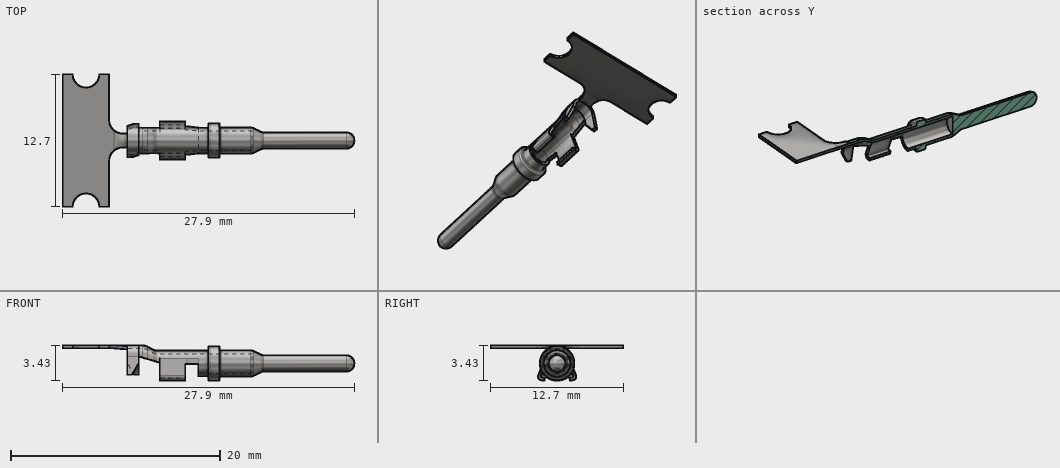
import cadquery as cq
import math


overall_length = 27.92
top_z = 1.75
sheet = 0.31

strip_width = 4.45
strip_span = 12.7
notch_radius = 1.27
neck_half_width = 0.68
neck_fillet = 1.27
neck_form_start = 4.88
neck_form_end = 5.95
neck_arch_radius = 2.5
neck_edge_angle = 66

barrel_radius = 1.27
tube_radius = 1.245
barrel_start = 12.95
cone_start = 18.1
cone_end = 19.1
cone_start_blend = 0.6
cone_end_blend = 0.3
pin_radius = 0.79

collar_start = 13.92
collar_end = 15.02
collar_radius = 1.665
collar_fillet = 0.15
collar_root_fillet = 0.08

grip_start = 6.17
grip_end = 7.28
grip_radius = 1.29
grip_bottom_z = -1.1
grip_flare = 11
grip_cut_length = 0.66
grip_cut_height = 1.14

bend_start = 7.60
bend_slope = 28
upper_bend_radius = 1.0
lower_bend_radius = 0.45
bend_edge_start_z = 0.66
bend_edge_end_z = 0.06

wing_start = 9.28
wing_end = 11.73
wing_flare = 22.5
curl_radius = 0.36
curl_center_z = -1.255
curl_end_angle = -78
curl_tip_length = 0.34

wall_flared_end = 11.87
wall_bottom_z = -0.08

strip_mid_x = strip_width / 2
bore_radius = tube_radius - sheet
curl_center_y = (
    tube_radius - curl_radius - curl_center_z * math.sin(math.radians(wing_flare))
) / math.cos(math.radians(wing_flare))


def polar(center_y, center_z, radius, degrees):
    angle = math.radians(degrees)
    return (center_y + radius * math.cos(angle), center_z + radius * math.sin(angle))


def section_plane(x):
    """Plane across the part at x: local x is Y, local y is Z."""
    return cq.Workplane("YZ", origin=(x, 0, 0))


def mirror_y(point):
    return (-point[0], point[1])


def arch(x, radius, edge_angle, crown_z=top_z):
    """Arched strip section at x, edges cut radially at edge_angle above horizontal."""
    center_z = crown_z - radius
    inner_radius = radius - sheet
    outer = polar(0, center_z, radius, edge_angle)
    inner = polar(0, center_z, inner_radius, edge_angle)
    return (
        section_plane(x)
        .moveTo(*outer)
        .threePointArc((0, crown_z), mirror_y(outer))
        .lineTo(*mirror_y(inner))
        .threePointArc((0, crown_z - sheet), inner)
        .close()
    )


def leg_foot(shoulder, flare, bottom_z):
    """Point at bottom_z on the straight leg leaning outward from its shoulder."""
    lean = math.tan(math.radians(flare))
    return (shoulder[0] + (shoulder[1] - bottom_z) * lean, bottom_z)


def carrier_strip():
    half_span = strip_span / 2
    fillet_y = neck_half_width + neck_fillet
    plate = cq.Workplane("XY", origin=(0, 0, top_z)).rect(strip_width, strip_span)
    plate = plate.extrude(-sheet).translate((strip_mid_x, 0, 0))
    notches = (
        cq.Workplane("XY", origin=(strip_mid_x, 0, top_z))
        .pushPoints([(0, half_span), (0, -half_span)])
        .circle(notch_radius)
        .extrude(-sheet)
    )
    flat_neck = (
        cq.Workplane("XY", origin=(0, 0, top_z - sheet))
        .moveTo(strip_width, -fillet_y)
        .lineTo(strip_width, fillet_y)
        .lineTo(neck_form_start, fillet_y)
        .lineTo(neck_form_start, -fillet_y)
        .close()
        .extrude(sheet)
        .intersect(neck_outline())
    )
    return plate.cut(notches).union(flat_neck)


def neck_outline():
    """Plan shape of the neck, filleted into the strip, as a tall block."""
    fillet_y = neck_half_width + neck_fillet
    fillet_end = strip_width + neck_fillet
    diagonal = neck_fillet * math.sqrt(0.5)
    mid_x = fillet_end - diagonal
    mid_y = fillet_y - diagonal
    return (
        cq.Workplane("XY")
        .moveTo(strip_width, fillet_y)
        .threePointArc((mid_x, mid_y), (fillet_end, neck_half_width))
        .lineTo(grip_start, neck_half_width)
        .lineTo(grip_start, -neck_half_width)
        .lineTo(fillet_end, -neck_half_width)
        .threePointArc((mid_x, -mid_y), (strip_width, -fillet_y))
        .close()
        .extrude(2 * top_z)
    )


def formed_neck():
    """Sheet changing from flat to arched, trimmed to the neck outline."""
    half = polar(0, 0, neck_arch_radius, neck_edge_angle)[0]
    flat = section_plane(neck_form_start).center(0, top_z - sheet / 2).rect(2 * half, sheet).wires().val()
    arched = arch(neck_form_end, neck_arch_radius, neck_edge_angle)
    curved = arched.wires().val()
    blend = cq.Workplane(cq.Solid.makeLoft([flat, curved], True))
    straight = arched.extrude(grip_start - neck_form_end)
    return blend.union(straight).intersect(neck_outline())


def insulation_grip():
    center_z = top_z - grip_radius
    outer = polar(0, center_z, grip_radius, grip_flare)
    inner = polar(0, center_z, grip_radius - sheet, grip_flare)
    outer_foot = leg_foot(outer, grip_flare, grip_bottom_z)
    inner_foot = leg_foot(inner, grip_flare, grip_bottom_z)
    grip = (
        section_plane(grip_start)
        .moveTo(*outer_foot)
        .lineTo(*outer)
        .threePointArc((0, top_z), mirror_y(outer))
        .lineTo(*mirror_y(outer_foot))
        .lineTo(*mirror_y(inner_foot))
        .lineTo(*mirror_y(inner))
        .threePointArc((0, top_z - sheet), inner)
        .lineTo(*inner_foot)
        .close()
        .extrude(grip_end - grip_start)
    )
    for corner_x, inward, side in ((grip_end, -1, 1), (grip_start, 1, -1)):
        cutter = (
            cq.Workplane("XZ")
            .moveTo(corner_x, grip_bottom_z)
            .lineTo(corner_x + inward * grip_cut_length, grip_bottom_z)
            .lineTo(corner_x, grip_bottom_z + grip_cut_height)
            .close()
            .extrude(side * 2 * grip_radius)
        )
        grip = grip.cut(cutter)
    return grip


def s_bend():
    """Arched sheet stepping down from the grip to the tube, its crown following an S."""
    slope = math.radians(bend_slope)
    upper_length = upper_bend_radius * math.sin(slope)
    lower_length = lower_bend_radius * math.sin(slope)
    arcs_drop = (upper_bend_radius + lower_bend_radius) * (1 - math.cos(slope))
    ramp_drop = top_z - tube_radius - arcs_drop
    ramp_start = bend_start + upper_length
    ramp_end = ramp_start + ramp_drop / math.tan(slope)
    bend_end = ramp_end + lower_length

    def arch_at(x, crown_z):
        return arch(x, tube_radius, 0, crown_z).wires().val()

    def upper_bend_arch(x):
        fall = upper_bend_radius - math.sqrt(upper_bend_radius**2 - (x - bend_start) ** 2)
        return arch_at(x, top_z - fall)

    def lower_bend_arch(x):
        rise = lower_bend_radius - math.sqrt(lower_bend_radius**2 - (bend_end - x) ** 2)
        return arch_at(x, tube_radius + rise)

    upper_level = arch(grip_end, tube_radius, 0).extrude(bend_start - grip_end)
    lower_level = arch(bend_end, tube_radius, 0, tube_radius).extrude(wing_start - bend_end)
    upper_bend = [upper_bend_arch(bend_start + upper_length * step) for step in (0, 0.5, 1)]
    lower_bend = [lower_bend_arch(ramp_end + lower_length * step) for step in (0, 0.5, 1)]
    ramp = [upper_bend[-1], lower_bend[0]]
    strip = upper_level.union(lower_level)
    strip = strip.union(cq.Workplane(cq.Solid.makeLoft(upper_bend)))
    strip = strip.union(cq.Workplane(cq.Solid.makeLoft(ramp, True)))
    strip = strip.union(cq.Workplane(cq.Solid.makeLoft(lower_bend)))
    above_edges = (
        cq.Workplane("XZ")
        .moveTo(grip_end, bend_edge_start_z)
        .lineTo(wing_start, bend_edge_end_z)
        .lineTo(wing_start, top_z)
        .lineTo(grip_end, top_z)
        .close()
        .extrude(2 * tube_radius, both=True)
    )
    return strip.intersect(above_edges)


def retaining_wings():
    """Pair of leaning legs whose lower ends curl inward."""
    inner_curl = curl_radius - sheet
    curl_mid = (wing_flare + curl_end_angle) / 2
    tip_direction = curl_end_angle - 90

    def curl_point(radius, degrees):
        return polar(curl_center_y, curl_center_z, radius, degrees)

    outer_curl_end = curl_point(curl_radius, curl_end_angle)
    inner_curl_end = curl_point(inner_curl, curl_end_angle)
    wing = (
        section_plane(wing_start)
        .moveTo(*polar(0, 0, tube_radius, wing_flare))
        .lineTo(*curl_point(curl_radius, wing_flare))
        .threePointArc(curl_point(curl_radius, curl_mid), outer_curl_end)
        .lineTo(*polar(*outer_curl_end, curl_tip_length, tip_direction))
        .lineTo(*polar(*inner_curl_end, curl_tip_length, tip_direction))
        .lineTo(*inner_curl_end)
        .threePointArc(curl_point(inner_curl, curl_mid), curl_point(inner_curl, wing_flare))
        .lineTo(*polar(0, 0, bore_radius, wing_flare))
        .close()
        .extrude(wing_end - wing_start)
    )
    return wing.union(wing.mirror("XZ"))


def flared_wall_section(x):
    outer = polar(0, 0, tube_radius, wing_flare)
    inner = polar(0, 0, bore_radius, wing_flare)
    return (
        section_plane(x)
        .moveTo(*outer)
        .lineTo(*leg_foot(outer, wing_flare, wall_bottom_z))
        .lineTo(*leg_foot(inner, wing_flare, wall_bottom_z))
        .lineTo(*inner)
        .close()
    )


def round_wall_section(x):
    bottom_angle = math.asin(wall_bottom_z / tube_radius)
    bottom_degrees = math.degrees(bottom_angle)
    mid_degrees = (wing_flare + bottom_degrees) / 2
    return (
        section_plane(x)
        .moveTo(*polar(0, 0, tube_radius, wing_flare))
        .threePointArc(
            polar(0, 0, tube_radius, mid_degrees),
            polar(0, 0, tube_radius, bottom_degrees),
        )
        .lineTo(*polar(0, 0, bore_radius, bottom_degrees))
        .threePointArc(
            polar(0, 0, bore_radius, mid_degrees),
            polar(0, 0, bore_radius, wing_flare),
        )
        .close()
    )


def side_walls():
    """Low walls behind the wings, their flare fading into the round tube."""
    flared = flared_wall_section(wing_end)
    wall = flared.extrude(wall_flared_end - wing_end)
    start = flared_wall_section(wall_flared_end).wires().val()
    end = round_wall_section(barrel_start).wires().val()
    wall = wall.union(cq.Workplane(cq.Solid.makeLoft([start, end], True)))
    return wall.union(wall.mirror("XZ"))


def channel():
    """Arched channel between the radial planes where the wings spring off."""
    reach = 2 * tube_radius
    shoulder = polar(0, 0, reach, wing_flare)
    length = barrel_start - wing_start
    upper_sector = (
        section_plane(wing_start)
        .moveTo(0, 0)
        .lineTo(*shoulder)
        .lineTo(shoulder[0], reach)
        .lineTo(-shoulder[0], reach)
        .lineTo(*mirror_y(shoulder))
        .close()
        .extrude(length)
    )
    tube = section_plane(wing_start).circle(tube_radius).circle(bore_radius).extrude(length)
    return tube.intersect(upper_sector)


def fillet_ring(body, x, radius, fillet):
    """Round the circular edge that has the given radius and lies at x."""
    tolerance = 0.001

    def is_ring(edge):
        if edge.geomType() != "CIRCLE":
            return False
        return abs(edge.Center().x - x) < tolerance and abs(edge.radius() - radius) < tolerance

    return body.edges().filter(is_ring).fillet(fillet)


def barrel_and_pin():
    """Closed tube, collar, barrel, cone and round-tipped pin, bored up to the cone."""
    tip_start = overall_length - pin_radius
    tip_diagonal = pin_radius * math.sqrt(0.5)
    body = (
        cq.Workplane("XZ")
        .moveTo(cone_start, 0)
        .lineTo(cone_start, bore_radius)
        .lineTo(barrel_start, bore_radius)
        .lineTo(barrel_start, tube_radius)
        .lineTo(collar_start, tube_radius)
        .lineTo(collar_start, collar_radius)
        .lineTo(collar_end, collar_radius)
        .lineTo(collar_end, barrel_radius)
        .lineTo(cone_start, barrel_radius)
        .lineTo(cone_end, pin_radius)
        .lineTo(tip_start, pin_radius)
        .threePointArc((tip_start + tip_diagonal, tip_diagonal), (overall_length, 0))
        .close()
        .revolve(360, (0, 0, 0), (1, 0, 0))
    )
    body = fillet_ring(body, collar_start, collar_radius, collar_fillet)
    body = fillet_ring(body, collar_end, collar_radius, collar_fillet)
    body = fillet_ring(body, collar_start, tube_radius, collar_root_fillet)
    body = fillet_ring(body, collar_end, barrel_radius, collar_root_fillet)
    body = fillet_ring(body, cone_start, barrel_radius, cone_start_blend)
    body = fillet_ring(body, cone_end, pin_radius, cone_end_blend)
    return body.rotate((0, 0, 0), (1, 0, 0), 180)


result = (
    carrier_strip()
    .union(formed_neck())
    .union(insulation_grip())
    .union(s_bend())
    .union(channel())
    .union(retaining_wings())
    .union(side_walls())
    .union(barrel_and_pin())
)